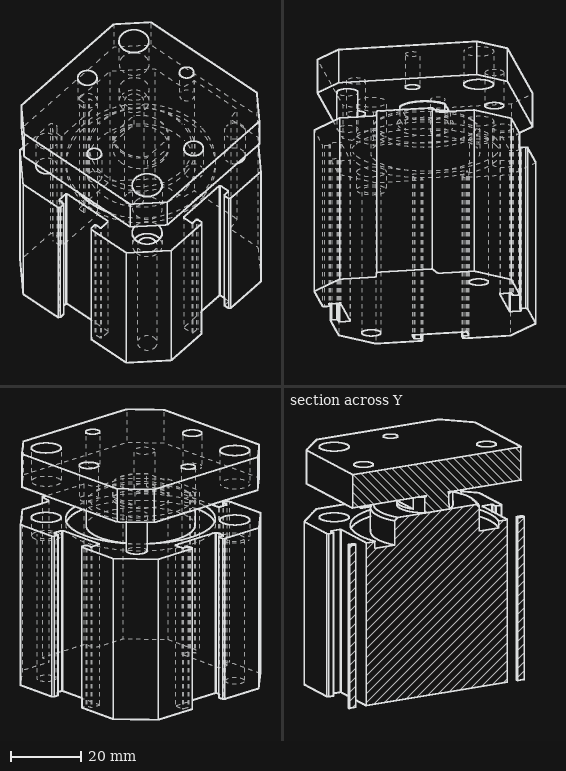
import cadquery as cq

BODY_HEIGHT = 48.5
TOTAL_HEIGHT = 69.5
PLATE_THICKNESS = 10.0
PLATE_BOTTOM = TOTAL_HEIGHT - PLATE_THICKNESS
COLLAR_HEIGHT = 6.05
COLLAR_TOP = BODY_HEIGHT + COLLAR_HEIGHT

BODY_WIDTH = 57.0
BODY_FACE = BODY_WIDTH / 2
BODY_CHAMFER = 9.05

SLOT_ANGLES = (0, 180, 270)
SLOT_OPENING = 11.7
SLOT_MOUTH_CHAMFER = 0.4
SLOT_LIP = 2.15
SLOT_DEPTH = 5.5
SLOT_CORNER_CHAMFER = 0.2
SLOT_INNER_WIDTH = 15.85

RAIL_OUTER_Y = 32.5
RAIL_TIP_WIDTH = 16.1
RAIL_ROOT_WIDTH = 17.8
RAIL_ROOT_FILLET = 1.0

RECESS_DIAMETER = 42.5
RECESS_DEPTH = 2.0
RECESS_FLOOR = BODY_HEIGHT - RECESS_DEPTH
COLLAR_DIAMETER = 31.0
COLLAR_CHAMFER = 0.9

ROD_DIAMETER = 16.0
ROD_TOP_CHAMFER = 0.3
FLAT_TO_FLAT = 13.0
FLAT_CLEARANCE = 0.9
FLAT_BOTTOM = COLLAR_TOP + FLAT_CLEARANCE

PLATE_WIDTH = 55.0
PLATE_CHAMFER = 7.5
SIDE_HOLE_OFFSET = 20.0
X_HOLE_DIAMETER = 5.5
Y_HOLE_DIAMETER = 4.1

CORNER_OFFSET = 19.0
PIN_CORNERS = [(-CORNER_OFFSET, -CORNER_OFFSET), (CORNER_OFFSET, CORNER_OFFSET)]
HOLE_CORNERS = [(-CORNER_OFFSET, CORNER_OFFSET), (CORNER_OFFSET, -CORNER_OFFSET)]
PIN_DIAMETER = 6.0
SCREW_DIAMETER = 5.5
SCREW_HEAD_DIAMETER = 8.5
SCREW_HEAD_DEPTH = 5.4


def cylinders(points, diameter, bottom, top):
    """Upright round bars of one diameter at the given XY points."""
    base = cq.Workplane("XY").workplane(offset=bottom).pushPoints(points)
    return base.circle(diameter / 2).extrude(top - bottom)


def cylinder(diameter, bottom, top):
    """Upright round bar on the Z axis."""
    return cylinders([(0, 0)], diameter, bottom, top)


def chamfered_square(width, chamfer, bottom, top):
    """Square block centred on the Z axis, its four upright edges chamfered."""
    base = cq.Workplane("XY").workplane(offset=bottom)
    return base.rect(width, width).extrude(top - bottom).edges("|Z").chamfer(chamfer)



def rail():
    """Tapered rail standing out of the +Y side."""
    half_root = RAIL_ROOT_WIDTH / 2
    half_tip = RAIL_TIP_WIDTH / 2
    outline = [
        (-half_root, BODY_FACE),
        (half_root, BODY_FACE),
        (half_tip, RAIL_OUTER_Y),
        (-half_tip, RAIL_OUTER_Y),
    ]
    return cq.Workplane("XY").polyline(outline).close().extrude(BODY_HEIGHT)


def housing_block():
    """Chamfered block and its rail, blended where the rail's sides meet the block."""
    block = chamfered_square(BODY_WIDTH, BODY_CHAMFER, 0, BODY_HEIGHT).union(rail())
    for x in (-RAIL_ROOT_WIDTH / 2, RAIL_ROOT_WIDTH / 2):
        root_edge = cq.selectors.NearestToPointSelector((x, BODY_FACE, BODY_HEIGHT / 2))
        block = block.edges("|Z").edges(root_edge).fillet(RAIL_ROOT_FILLET)
    return block


def t_slot(angle):
    """T-shaped slot along the full height, in the side that faces the given direction."""
    floor = BODY_FACE - SLOT_DEPTH
    lip = BODY_FACE - SLOT_LIP
    mouth = BODY_FACE - SLOT_MOUTH_CHAMFER
    half_inner = SLOT_INNER_WIDTH / 2
    half_opening = SLOT_OPENING / 2
    half_mouth = half_opening + SLOT_MOUTH_CHAMFER
    upper_side = [
        (floor, half_inner - SLOT_CORNER_CHAMFER),
        (floor + SLOT_CORNER_CHAMFER, half_inner),
        (lip - SLOT_CORNER_CHAMFER, half_inner),
        (lip, half_inner - SLOT_CORNER_CHAMFER),
        (lip, half_opening + SLOT_CORNER_CHAMFER),
        (lip + SLOT_CORNER_CHAMFER, half_opening),
        (mouth, half_opening),
        (BODY_FACE, half_mouth),
    ]
    lower_side = [(x, -y) for x, y in reversed(upper_side)]
    slot = cq.Workplane("XY").polyline(upper_side + lower_side).close().extrude(BODY_HEIGHT)
    return slot.rotate((0, 0, 0), (0, 0, 1), angle)


def collar():
    """Round collar with a chamfered rim, standing on the recess floor."""
    return cylinder(COLLAR_DIAMETER, RECESS_FLOOR, COLLAR_TOP).faces(">Z").chamfer(COLLAR_CHAMFER)


def make_housing():
    """Slotted block with counterbored screw holes and a recessed collar."""
    housing = housing_block()
    for angle in SLOT_ANGLES:
        housing = housing.cut(t_slot(angle))
    housing = housing.cut(cylinders(HOLE_CORNERS, SCREW_DIAMETER, 0, BODY_HEIGHT))
    head_bottom = BODY_HEIGHT - SCREW_HEAD_DEPTH
    housing = housing.cut(cylinders(HOLE_CORNERS, SCREW_HEAD_DIAMETER, head_bottom, BODY_HEIGHT))
    housing = housing.cut(cylinder(RECESS_DIAMETER, RECESS_FLOOR, BODY_HEIGHT))
    return housing.union(collar())



def piston_rod():
    """Short rod from the collar to the plate, with two flats and a fine top chamfer."""
    rod = cylinder(ROD_DIAMETER, COLLAR_TOP, PLATE_BOTTOM).faces(">Z").chamfer(ROD_TOP_CHAMFER)
    flat_depth = (ROD_DIAMETER - FLAT_TO_FLAT) / 2
    flat_x = (FLAT_TO_FLAT + flat_depth) / 2
    flats = (
        cq.Workplane("XY").workplane(offset=FLAT_BOTTOM)
        .pushPoints([(-flat_x, 0), (flat_x, 0)])
        .rect(flat_depth, ROD_DIAMETER)
        .extrude(PLATE_BOTTOM - FLAT_BOTTOM)
    )
    return rod.cut(flats)


def end_plate():
    """Chamfered square plate with its through holes."""
    plate = chamfered_square(PLATE_WIDTH, PLATE_CHAMFER, PLATE_BOTTOM, TOTAL_HEIGHT)
    x_points = [(-SIDE_HOLE_OFFSET, 0), (SIDE_HOLE_OFFSET, 0)]
    y_points = [(0, -SIDE_HOLE_OFFSET), (0, SIDE_HOLE_OFFSET)]
    holes = [
        (HOLE_CORNERS, SCREW_HEAD_DIAMETER),
        (x_points, X_HOLE_DIAMETER),
        (y_points, Y_HOLE_DIAMETER),
    ]
    for points, diameter in holes:
        plate = plate.cut(cylinders(points, diameter, PLATE_BOTTOM, TOTAL_HEIGHT))
    return plate


def make_plunger():
    """Plate carried by the rod, with guide pins that reach down to the housing."""
    pins = cylinders(PIN_CORNERS, PIN_DIAMETER, BODY_HEIGHT, PLATE_BOTTOM)
    return end_plate().union(pins).union(piston_rod())


housing = make_housing()
plunger = make_plunger()

result = cq.Compound.makeCompound([housing.val(), plunger.val()])